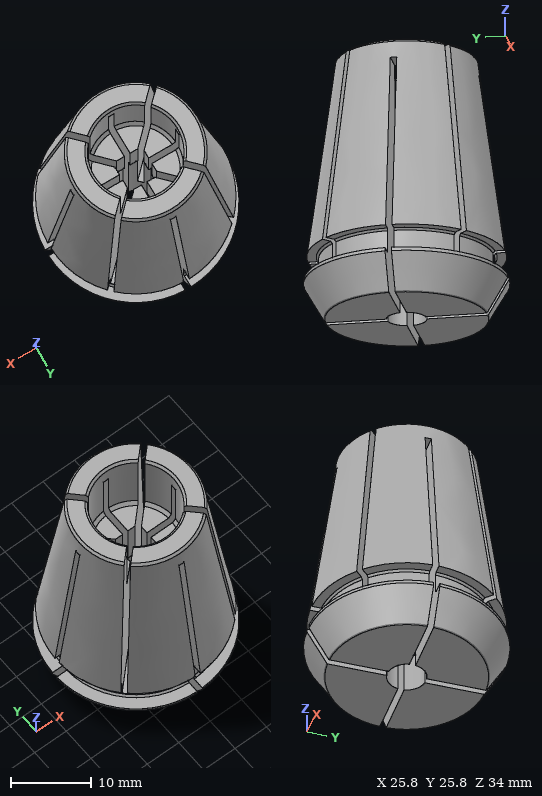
import cadquery as cq
import math


total_height = 34.0
nose_cone_top = 4.55
flange_top = 5.0
groove_top = 8.15
nose_slot_top = 31.45
rear_slot_floor = 5.47
square_bottom = 17.0
bore_floor = 23.8

flange_diameter = 25.8
flange_radius = flange_diameter / 2
groove_radius = 11.0
cone_base_radius = 12.5

nose_angle = math.radians(30)
clamp_angle = math.radians(8)
nose_edge_break = 0.1
groove_corner_break = 0.27
top_edge_break = 0.35

bore_radius = 6.02
bore_edge_break = 0.35
bore_floor_break = 0.48
shank_radius = 2.5
square_side = 4.2

slot_width = 0.8


def make_body():
    """Revolve the solid outer shape of the collet."""
    nose_edge_radius = flange_radius - (nose_cone_top - nose_edge_break) * math.tan(nose_angle)
    top_edge_height = total_height - top_edge_break
    cone_top_radius = cone_base_radius - (top_edge_height - groove_top) * math.tan(clamp_angle)
    outline = [
        (0, 0),
        (nose_edge_radius - nose_edge_break, 0),
        (nose_edge_radius, nose_edge_break),
        (flange_radius, nose_cone_top),
        (flange_radius, flange_top),
        (groove_radius + groove_corner_break, flange_top),
        (groove_radius, flange_top + groove_corner_break),
        (groove_radius, groove_top - groove_corner_break),
        (groove_radius + groove_corner_break, groove_top),
        (cone_base_radius, groove_top),
        (cone_top_radius, top_edge_height),
        (cone_top_radius - top_edge_break, total_height),
        (0, total_height),
    ]
    return cq.Workplane("XZ").polyline(outline).close().revolve(360, (0, 0), (0, 1))


def make_hole():
    """Round shank hole, square drive hole and wide rear bore, stacked on the axis."""
    shank = cq.Workplane("XY").circle(shank_radius).extrude(square_bottom)
    square = (
        cq.Workplane("XY")
        .workplane(offset=square_bottom)
        .rect(square_side, square_side)
        .extrude(bore_floor - square_bottom)
    )
    bore_outline = [
        (0, bore_floor),
        (bore_radius - bore_floor_break, bore_floor),
        (bore_radius, bore_floor + bore_floor_break),
        (bore_radius, total_height - bore_edge_break),
        (bore_radius + bore_edge_break, total_height),
        (0, total_height),
    ]
    bore = cq.Workplane("XZ").polyline(bore_outline).close().revolve(360, (0, 0), (0, 1))
    return shank.union(square).union(bore)


def make_crossed_slots(bottom, top, first_angle):
    """Two slots through the axis at right angles, between two heights."""
    slot_length = 2 * flange_diameter
    slot = (
        cq.Workplane("XY")
        .workplane(offset=bottom)
        .rect(slot_length, slot_width)
        .extrude(top - bottom)
        .rotate((0, 0, 0), (0, 0, 1), first_angle)
    )
    return slot.union(slot.rotate((0, 0, 0), (0, 0, 1), 90))


nose_slots = make_crossed_slots(0, nose_slot_top, 0)
rear_slots = make_crossed_slots(rear_slot_floor, total_height, 45)

result = make_body().cut(make_hole()).cut(nose_slots).cut(rear_slots)